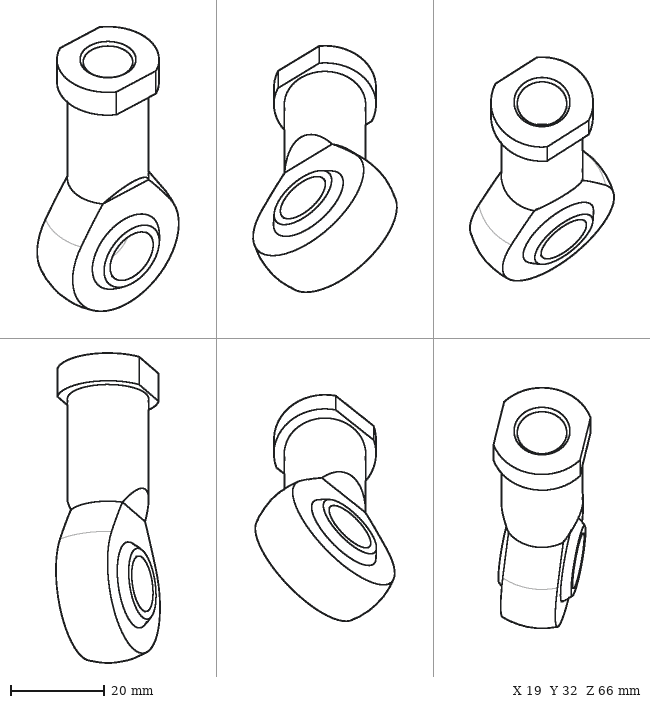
import cadquery as cq
import math

total_height = 66.0
head_radius = 16.0
head_width = 12.0
slope_angle = math.radians(60)

shank_radius = 17.5 / 2
collar_radius = 22.0 / 2
collar_height = 6.4
collar_width = 19.0

ball_radius = 11.1
ball_width = 16.0
ball_bore_diameter = 12.0

hole_radius = 10.6 / 2
hole_mouth_radius = 12.0 / 2
hole_depth = 19.8
tip_angle = math.radians(118)

eye_z = head_radius
tangent_radius = head_radius * math.sin(slope_angle)
tangent_z = eye_z + head_radius * math.cos(slope_angle)
neck_top_z = tangent_z + (tangent_radius - shank_radius) * math.tan(slope_angle)
half_head = head_width / 2
slope_end_z = neck_top_z + (collar_radius - half_head) * math.tan(slope_angle)
collar_z = total_height - collar_height


def make_body():
    """Spherical eye, tangent conical neck and shank, turned as one profile."""
    return (
        cq.Workplane("XZ")
        .lineTo(0, collar_z)
        .lineTo(shank_radius, collar_z)
        .lineTo(shank_radius, neck_top_z)
        .lineTo(tangent_radius, tangent_z)
        .threePointArc((head_radius, eye_z), (0, 0))
        .close()
        .revolve(360, (0, 0), (0, 1))
    )


def make_side_envelope():
    """Slab that flattens the eye and slopes out past the shank."""
    return (
        cq.Workplane("XZ")
        .polyline([
            (-half_head, 0),
            (half_head, 0),
            (half_head, neck_top_z),
            (collar_radius, slope_end_z),
            (collar_radius, total_height),
            (-collar_radius, total_height),
            (-collar_radius, slope_end_z),
            (-half_head, neck_top_z),
        ])
        .close()
        .extrude(head_radius, both=True)
    )


def make_collar():
    """Round collar with two wrench flats."""
    disc = cq.Workplane("XY").workplane(offset=collar_z).circle(collar_radius).extrude(collar_height)
    flats = cq.Workplane("XY").box(collar_width, 2 * collar_radius, 2 * total_height)
    return disc.intersect(flats)


def make_ball():
    """Bearing ball with flat ends, standing proud of both eye faces."""
    half_width = ball_width / 2
    end_radius = math.sqrt(ball_radius**2 - half_width**2)
    return (
        cq.Workplane("XZ")
        .moveTo(-half_width, 0)
        .lineTo(-half_width, end_radius)
        .threePointArc((0, ball_radius), (half_width, end_radius))
        .lineTo(half_width, 0)
        .close()
        .revolve(360, (0, 0), (1, 0))
        .translate((0, 0, eye_z))
    )


def make_ball_bore():
    """Through hole along X."""
    return (
        cq.Workplane("YZ")
        .center(0, eye_z)
        .circle(ball_bore_diameter / 2)
        .extrude(ball_width, both=True)
    )


def make_shank_hole():
    """Blind hole with a 45 degree mouth chamfer and a conical tip."""
    mouth_chamfer = hole_mouth_radius - hole_radius
    bottom_z = total_height - hole_depth
    tip_z = bottom_z - hole_radius / math.tan(tip_angle / 2)
    return (
        cq.Workplane("XZ")
        .polyline([
            (0, total_height),
            (hole_mouth_radius, total_height),
            (hole_radius, total_height - mouth_chamfer),
            (hole_radius, bottom_z),
            (0, tip_z),
        ])
        .close()
        .revolve(360, (0, 0), (0, 1))
    )


rod_end = make_body().intersect(make_side_envelope())
rod_end = rod_end.union(make_collar()).union(make_ball())
result = rod_end.cut(make_ball_bore()).cut(make_shank_hole())